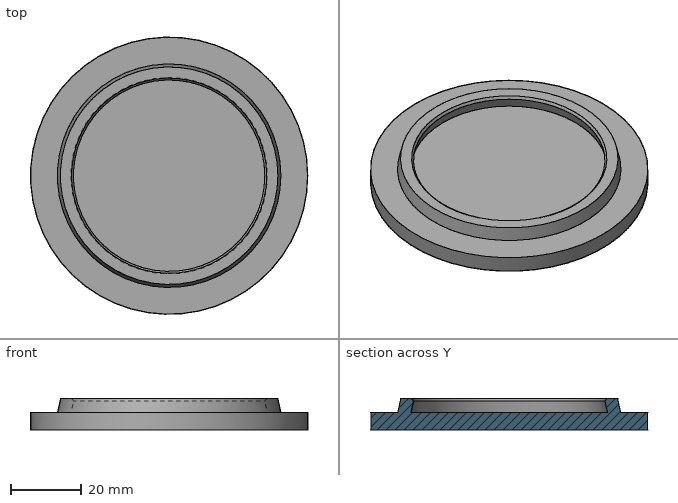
import cadquery as cq

flange_radius = 39.5
flange_height = 5.05

ring_height = 3.95
ring_base_radius = 31.8
ring_top_radius = 31.0

recess_mouth_radius = 27.8
lip_radius = 27.25
lip_depth = 0.8
recess_floor_radius = 28.0

top_z = flange_height + ring_height
lip_z = top_z - lip_depth
floor_z = flange_height

half_section = [
    (0, 0),
    (flange_radius, 0),
    (flange_radius, flange_height),
    (ring_base_radius, flange_height),
    (ring_top_radius, top_z),
    (recess_mouth_radius, top_z),
    (lip_radius, lip_z),
    (recess_floor_radius, floor_z),
    (0, floor_z),
]

result = (
    cq.Workplane("XZ")
    .polyline(half_section)
    .close()
    .revolve(360, (0, 0), (0, 1))
)